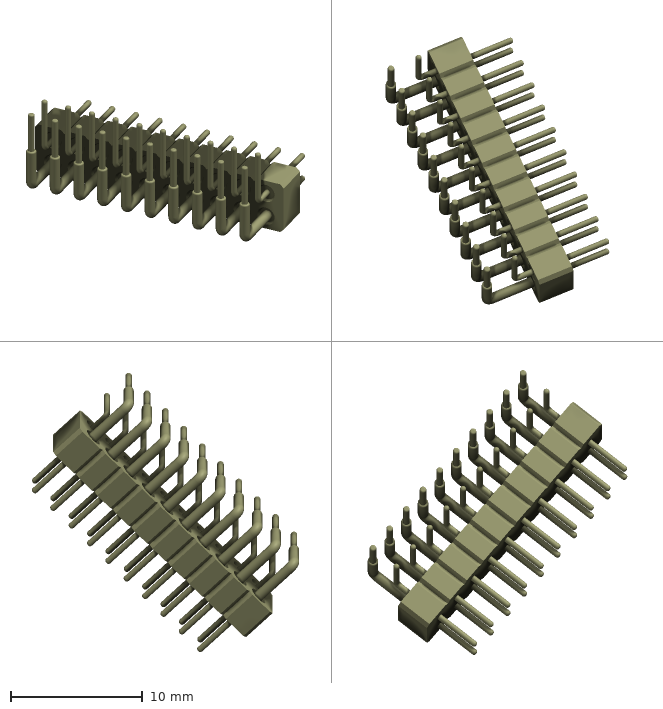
import cadquery as cq
import math


body_length = 21.0
overall_depth = 10.5
overall_height = 7.4

body_depth = 2.81
body_height = 4.2
notch_depth = 0.3

pin_count = 10
pitch = body_length / (pin_count + 0.5)
row_spacing = pitch
lower_row_z = (body_height - row_spacing) / 2
upper_row_z = lower_row_z + row_spacing
pin_positions = [(i - (pin_count - 1) / 2) * pitch for i in range(pin_count)]

socket_mouth_radius = 0.74
socket_floor_radius = 0.6
socket_depth = 0.2

back_reach = 3.6
wire_radius = 0.23

upper_arm = 1.4
upper_bend_radius = 0.42
upper_tip_round = 0.19

sleeve_radius = 0.4
sleeve_bend_radius = 0.46
sleeve_shoulder_round = 0.13
tail_radius = 0.25
tail_tip_round = 0.13
lower_back_tip_round = 0.17
lower_arm = overall_depth - back_reach - body_depth - sleeve_radius

back_end_y = body_depth + back_reach
sleeve_start_y = body_depth / 2


def make_body():
    """Insulator block with chamfered corners and V-notches between the pins."""
    block = cq.Workplane("XY").box(body_length, body_depth, body_height, centered=(True, False, False))
    block = block.edges("|Y").chamfer(notch_depth)
    for x in pin_positions[:-1]:
        for z in (0, body_height):
            notch = (
                cq.Workplane("XZ", origin=(x + pitch / 2, 0, z))
                .polyline([(-notch_depth, 0), (0, notch_depth), (notch_depth, 0), (0, -notch_depth)])
                .close()
                .extrude(-body_depth)
            )
            block = block.cut(notch)
    return block


def make_socket(z):
    """Shallow recess narrowing towards its floor, on the pin axis at x = 0."""
    mouth = cq.Workplane("XZ", origin=(0, 0, z)).circle(socket_mouth_radius)
    return mouth.workplane(offset=-socket_depth).circle(socket_floor_radius).loft()


def make_bent_wire(radius, bend_radius, start_y, arm, z, top_z):
    """Round wire running from start_y forward to y = -arm, then bent up to top_z."""
    inset = bend_radius * (1 - math.sqrt(0.5))
    path = (
        cq.Workplane("YZ")
        .moveTo(start_y, z)
        .lineTo(-arm + bend_radius, z)
        .threePointArc((-arm + inset, z + inset), (-arm, z + bend_radius))
        .lineTo(-arm, top_z)
    )
    return cq.Workplane("XZ", origin=(0, start_y, z)).circle(radius).sweep(path)


def make_upper_pin():
    """Thin bent wire, rounded at both ends."""
    pin = make_bent_wire(wire_radius, upper_bend_radius, back_end_y, upper_arm, upper_row_z, overall_height)
    return pin.faces(">Z or >Y").edges().fillet(upper_tip_round)


def make_lower_pin():
    """Thick bent sleeve level with the block top, with the tail and back wire on its ends."""
    sleeve = make_bent_wire(
        sleeve_radius, sleeve_bend_radius, sleeve_start_y, lower_arm, lower_row_z, body_height
    )
    sleeve = sleeve.faces(">Z").edges().fillet(sleeve_shoulder_round)

    back = cq.Workplane("XZ", origin=(0, sleeve_start_y, lower_row_z)).circle(wire_radius)
    back = back.extrude(sleeve_start_y - back_end_y)
    back = back.faces(">Y").edges().fillet(lower_back_tip_round)

    tail = cq.Workplane("XY", origin=(0, -lower_arm, body_height)).circle(tail_radius)
    tail = tail.extrude(overall_height - body_height)
    tail = tail.faces(">Z").edges().fillet(tail_tip_round)
    return sleeve.union(back).union(tail)


sockets = [make_socket(lower_row_z), make_socket(upper_row_z)]
pins = [make_lower_pin(), make_upper_pin()]

result = make_body()
for x in pin_positions:
    for socket, pin in zip(sockets, pins):
        result = result.cut(socket.translate((x, 0, 0)))
        result = result.union(pin.translate((x, 0, 0)))